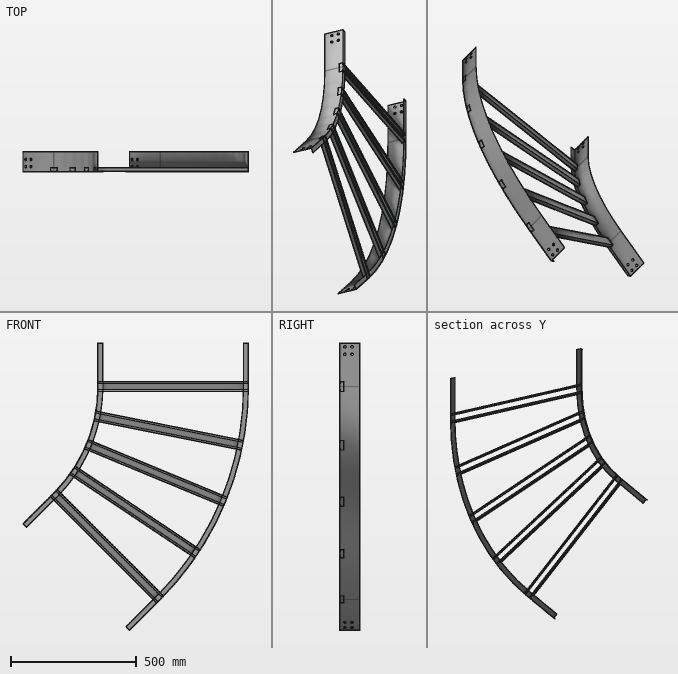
import cadquery as cq
import math

overall_length = 1144.0
bend_angle = 45.0
inner_radius = 599.0
tray_width = 600.0
rail_depth = 80.0
flange_width = 21.0
sheet = 1.4

rung_count = 5
rung_height = 40.0
rung_depth = 16.0
rung_lip = 8.0

hole_diameter = 9.0
hole_end_distances = (15.0, 45.0)
hole_heights = (21.0, 49.0)

outer_radius = inner_radius + tray_width
bend_sine = math.sin(math.radians(bend_angle))
straight_length = (overall_length - outer_radius * bend_sine) / (1 + bend_sine)
rung_start = inner_radius + sheet / 2
rung_length = tray_width - sheet


def turned(shape, angle):
    """Swing a shape about the bend axis, which is the Y axis, from the upper end toward the lower end."""
    return shape.rotate((0, 0, 0), (0, 1, 0), angle)


def rail_profile(web_face, inward):
    """L section in the XY plane; the flange lies at Y = 0 and points along inward (+1 or -1)."""
    web_back = web_face + inward * sheet
    flange_tip = web_face + inward * flange_width
    return (
        cq.Workplane("XY")
        .moveTo(web_face, 0)
        .lineTo(flange_tip, 0)
        .lineTo(flange_tip, sheet)
        .lineTo(web_back, sheet)
        .lineTo(web_back, rail_depth)
        .lineTo(web_face, rail_depth)
        .close()
    )


def end_holes(web_face, end_direction):
    """Cutters through the web of a straight that runs along Z from Z = 0."""
    centers = [
        (height, end_direction * (straight_length - distance))
        for distance in hole_end_distances
        for height in hole_heights
    ]
    return (
        cq.Workplane("YZ", origin=(web_face, 0, 0))
        .pushPoints(centers)
        .circle(hole_diameter / 2)
        .extrude(2 * sheet, both=True)
    )


def rail(web_face, inward):
    """Upper straight, bend and lower straight, with splice holes at both ends."""
    upper = rail_profile(web_face, inward).extrude(straight_length).cut(end_holes(web_face, 1))
    lower = rail_profile(web_face, inward).extrude(-straight_length).cut(end_holes(web_face, -1))
    bend = rail_profile(web_face, inward).revolve(bend_angle, (0, 0, 0), (0, 1, 0))
    return upper.union(bend).union(turned(lower, bend_angle))


def rung_block(bottom, top, height):
    """Bar between the two webs, spanning Y from bottom to top and centred on Z = 0."""
    return (
        cq.Workplane("XY")
        .box(rung_length, top - bottom, height, centered=(False, False, True))
        .translate((rung_start, bottom, 0))
    )


def rung():
    """Lipped channel standing on the rail flanges, open toward -Y, its ends set into the webs."""
    rung_top = sheet + rung_depth
    channel = rung_block(sheet, rung_top, rung_height)
    cavity = rung_block(2 * sheet, rung_top - sheet, rung_height - 2 * sheet)
    mouth = rung_block(sheet, 2 * sheet, rung_height - 2 * rung_lip)
    return channel.cut(cavity).cut(mouth)


result = rail(inner_radius, 1).union(rail(outer_radius, -1))
for index in range(rung_count):
    result = result.union(turned(rung(), bend_angle * index / (rung_count - 1)))